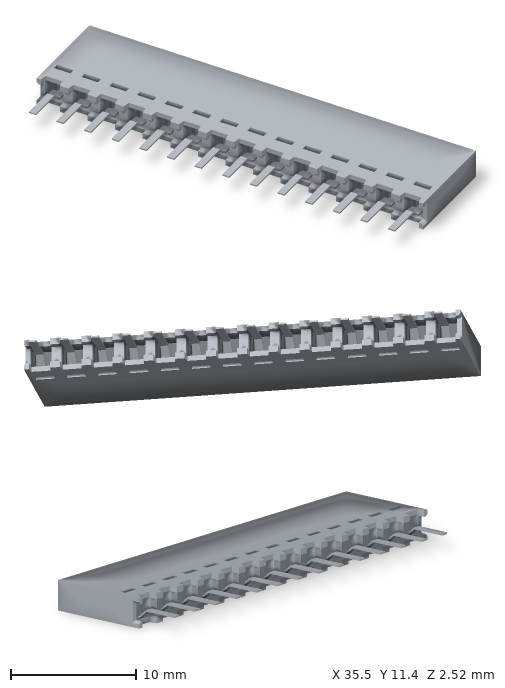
import cadquery as cq
import math

length = 35.55
height = 2.52
housing_depth = 8.55
overall_depth = 11.4
pin_count = 14
pitch = length / pin_count

wall = 0.43
slot_front = 1.92
slot_back = 2.45
cell_width = 1.53
mouth_width = 1.75
cell_taper_depth = 0.32
cell_taper_start = slot_front - cell_taper_depth

groove_depth = 0.65
groove_lip = 0.55
end_lip = 0.35
end_flare = 0.18

pin_width = 0.65
pin_thickness = 0.15
pin_reach = overall_depth - housing_depth
bend_y = 0.07
pin_slope = 40.0
pin_z = height / 2
pin_drop = pin_z - pin_thickness / 2 - wall

pin_positions = [((i - (pin_count - 1) / 2) * pitch, 0) for i in range(pin_count)]


def symmetric_prism(right_side, prism_height):
    """Upright prism whose plan outline is the given right side mirrored about x = 0."""
    left_side = [(-x, y) for x, y in reversed(right_side)]
    return cq.Workplane("XY").polyline(right_side + left_side).close().extrude(prism_height)


def make_groove():
    """Groove along the front face, flared at both ends of the housing."""
    end_x = length / 2
    inner_x = end_x - end_flare
    outline = [
        (-end_x, end_lip),
        (-inner_x, groove_lip),
        (inner_x, groove_lip),
        (end_x, end_lip),
        (end_x, height - end_lip),
        (inner_x, height - groove_lip),
        (-inner_x, height - groove_lip),
        (-end_x, height - end_lip),
    ]
    return cq.Workplane("XZ").polyline(outline).close().extrude(-groove_depth)


def make_cell():
    """Pocket between the lids, with a notch and a cross slot through both lids."""
    pocket_side = [
        (mouth_width / 2, 0),
        (mouth_width / 2, cell_taper_start),
        (cell_width / 2, slot_front),
        (cell_width / 2, slot_back),
    ]
    pocket = symmetric_prism(pocket_side, height - 2 * wall).translate((0, 0, wall))
    notch_side = [(mouth_width / 2, 0), (cell_width / 2, groove_depth)]
    notch = symmetric_prism(notch_side, height)
    slot = cq.Workplane("XY").box(
        cell_width, slot_back - slot_front, height, centered=(True, False, False)
    ).translate((0, slot_front, 0))
    return pocket.union(notch).union(slot)


def make_pin():
    """Strip lying on the lower lid, sloping up to mid height and leaving through the mouth."""
    half = pin_thickness / 2
    slope_run = pin_drop / math.tan(math.radians(pin_slope))
    miter = pin_thickness * math.tan(math.radians(pin_slope / 2))
    outline = [
        (-pin_reach, pin_z + half),
        (bend_y, pin_z + half),
        (bend_y + slope_run, wall + pin_thickness),
        (slot_back, wall + pin_thickness),
        (slot_back, wall),
        (bend_y + slope_run - miter, wall),
        (bend_y - miter, pin_z - half),
        (-pin_reach, pin_z - half),
    ]
    return cq.Workplane("YZ").polyline(outline).close().extrude(pin_width / 2, both=True)


def at_each_pin(shape):
    """Copies of a shape at every pin position."""
    spots = cq.Workplane("XY").pushPoints(pin_positions)
    return spots.eachpoint(lambda spot: shape.val().moved(spot), combine=False)


housing = cq.Workplane("XY").box(length, housing_depth, height, centered=(True, False, False))
housing = housing.cut(make_groove()).cut(at_each_pin(make_cell()))

result = housing.union(at_each_pin(make_pin()))